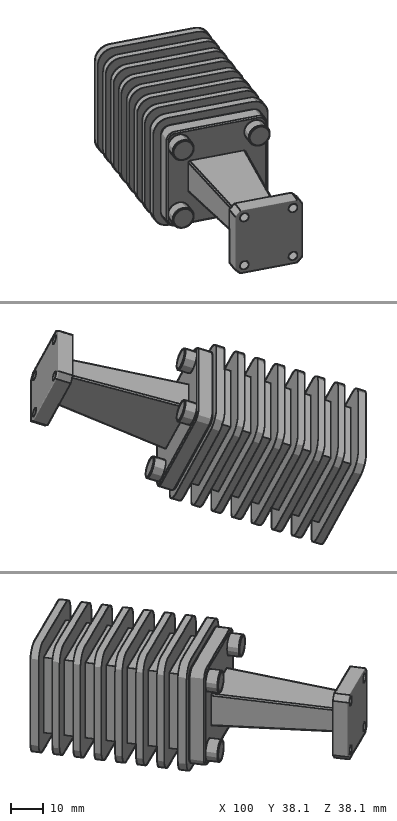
import cadquery as cq

total_length = 100.0

fin_size = 38.1
fin_corner_radius = 5.1
first_fin_thickness = 2.7
last_fin_thickness = 2.8
groove_width = 4.4
groove_count = 7
heat_sink_length = 50.2
core_size = 26.2

mount_flange_size = 33.4
mount_flange_thickness = 5.4
mount_flange_corner_radius = 3.0
mount_flange_edge_chamfer = 0.45
end_flange_size = 22.5
end_flange_thickness = 5.0
end_flange_corner_chamfer = 1.8
end_flange_edge_round = 0.25
horn_start_width = 19.1
horn_start_height = 11.2
horn_end_width = 12.5
horn_end_height = 8.1
horn_edge_chamfer = 0.5
end_hole_diameter = 2.9
end_hole_spacing_y = 16.2
end_hole_spacing_z = 17.0

head_diameter = 7.1
head_length = 4.0
head_edge_chamfer = 0.3
head_spacing_y = 25.3
head_spacing_z = 24.1

last_groove_x = heat_sink_length - last_fin_thickness - groove_width
groove_pitch = (last_groove_x - first_fin_thickness) / (groove_count - 1)
mount_face_x = heat_sink_length + mount_flange_thickness
end_flange_x = total_length - end_flange_thickness


def section_plane(x):
    """Workplane facing +X at station x, with local axes along Y and Z."""
    return cq.Workplane("YZ", origin=(x, 0, 0))


def square_block(x, size, length):
    """Square block centred on the X axis, running from station x towards +X."""
    return section_plane(x).rect(size, size).extrude(length)


def make_heat_sink():
    """Round-cornered block cut by evenly spaced grooves down to a square core."""
    body = square_block(0, fin_size, heat_sink_length).edges("|X").fillet(fin_corner_radius)
    for i in range(groove_count):
        groove_x = first_fin_thickness + i * groove_pitch
        groove = square_block(groove_x, fin_size, groove_width)
        core = square_block(groove_x, core_size, groove_width)
        body = body.cut(groove.cut(core))
    return body


def make_horn():
    """Rectangular taper between the two flanges, with chamfered long edges."""
    horn = (
        section_plane(mount_face_x)
        .rect(horn_start_width, horn_start_height)
        .workplane(offset=end_flange_x - mount_face_x)
        .rect(horn_end_width, horn_end_height)
        .loft(ruled=True)
    )
    return horn.edges("not(<X or >X)").chamfer(horn_edge_chamfer)


def make_mount_flange():
    """Round-cornered flange with chamfered rims, seated on the heat sink."""
    flange = square_block(heat_sink_length, mount_flange_size, mount_flange_thickness)
    flange = flange.edges("|X").fillet(mount_flange_corner_radius)
    return flange.faces("<X or >X").edges().chamfer(mount_flange_edge_chamfer)


def make_end_flange():
    """Flange with cut-off corners, rounded rims and four through holes."""
    flange = square_block(end_flange_x, end_flange_size, end_flange_thickness)
    flange = flange.edges("|X").chamfer(end_flange_corner_chamfer)
    flange = flange.faces("<X or >X").edges().fillet(end_flange_edge_round)
    end_holes = (
        section_plane(end_flange_x)
        .rect(end_hole_spacing_y, end_hole_spacing_z, forConstruction=True)
        .vertices()
        .circle(end_hole_diameter / 2)
        .extrude(end_flange_thickness)
    )
    return flange.cut(end_holes)


def make_waveguide():
    """Mounting flange, horn and end flange in one piece."""
    return make_mount_flange().union(make_horn()).union(make_end_flange())


def make_screw_head(y, z):
    """Cylindrical screw head seated on the mounting flange."""
    head = section_plane(mount_face_x).center(y, z).circle(head_diameter / 2).extrude(head_length)
    return head.faces(">X").edges().chamfer(head_edge_chamfer)


heat_sink = make_heat_sink()
waveguide = make_waveguide()
screw_heads = [
    make_screw_head(side_y * head_spacing_y / 2, side_z * head_spacing_z / 2)
    for side_y in (-1, 1)
    for side_z in (-1, 1)
]

result = cq.Compound.makeCompound(
    [heat_sink.val(), waveguide.val(), *[head.val() for head in screw_heads]]
)